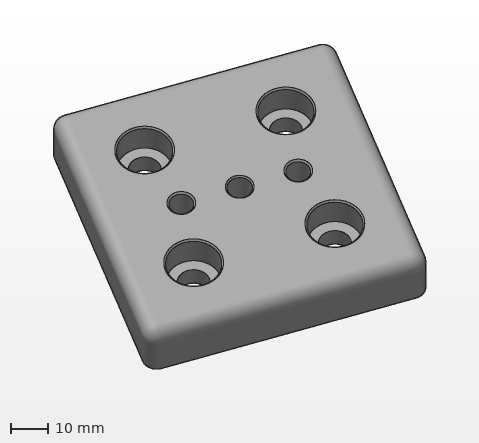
import cadquery as cq

side = 80.0
height = 15.0
edge_radius = 4.0

corner_spacing = 40.0
bolt_diameter = 9.0
bore_diameter = 15.0
bore_depth = 9.0
bore_rim_diameter = 16.0

row_spacing = 16.6
row_middle_diameter = 6.8
row_end_diameter = 6.6
row_rim_diameter = 7.7


def rounded_plate():
    """Square plate on Z = 0 with rounded upright and top edges."""
    plate = cq.Workplane("XY").box(side, side, height, centered=(True, True, False))
    return plate.edges("|Z").fillet(edge_radius).faces(">Z").edges().fillet(edge_radius)


def hole_cutter(diameter, depth, rim_diameter):
    """Hole sunk from the top face, with a 45 degree chamfer at its rim."""
    radius = diameter / 2
    rim_radius = rim_diameter / 2
    chamfer = rim_radius - radius
    profile = (
        cq.Workplane("XZ")
        .moveTo(0, height - depth)
        .lineTo(radius, height - depth)
        .lineTo(radius, height - chamfer)
        .lineTo(rim_radius, height)
        .lineTo(0, height)
        .close()
    )
    return profile.revolve(360, (0, 0, 0), (0, 1, 0))


def counterbore_cutter():
    """Bolt hole through the plate under a chamfered counterbore."""
    bolt_hole = cq.Workplane("XY").circle(bolt_diameter / 2).extrude(height)
    return bolt_hole.union(hole_cutter(bore_diameter, bore_depth, bore_rim_diameter))


result = rounded_plate()

corner_cutter = counterbore_cutter()
for x in (-corner_spacing / 2, corner_spacing / 2):
    for y in (-corner_spacing / 2, corner_spacing / 2):
        result = result.cut(corner_cutter.translate((x, y, 0)))

for y, diameter in (
    (-row_spacing, row_end_diameter),
    (0, row_middle_diameter),
    (row_spacing, row_end_diameter),
):
    result = result.cut(hole_cutter(diameter, height, row_rim_diameter).translate((0, y, 0)))